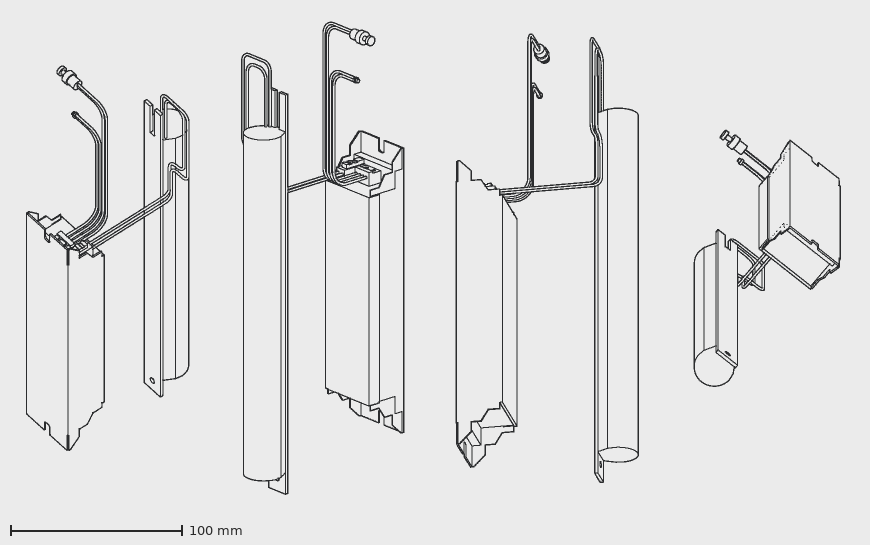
import cadquery as cq
import math


overall_width = 66.0
overall_depth = 104.5
overall_height = 285.5

lamp_diameter = 23.7
lamp_radius = lamp_diameter / 2
lamp_bottom = 13.5
lamp_top = 227.0
lamp_axis_y = overall_depth - lamp_radius
arc_end_rise = 0.5
arc_end_y = lamp_axis_y + arc_end_rise
arc_end_half_width = math.sqrt(lamp_radius**2 - arc_end_rise**2)
flank_y = 88.8
flank_half_width = 11.0

strip_front_y = 80.2
strip_thickness = 2.0
strip_width = 14.8
strip_height = 250.0
strip_hole_diameter = 3.7
strip_hole_z = 8.3
strip_slot_width = strip_hole_diameter
strip_slot_depth = strip_height - lamp_top

housing_center_x = 0.3
housing_width = 38.0
housing_bottom = 21.0
housing_height = 178.2
housing_top = housing_bottom + housing_height
housing_depth = 26.0
sheet = 1.0
left_wall = 0.5
flange_length = 13.0
body_inset = 20.0
end_steps = [
    (2.0, 0),
    (8.9, 6.9),
    (8.9, flange_length),
    (14.8, flange_length),
    (19.0, body_inset),
    (housing_depth, body_inset),
]
ledge_depth = 6.3
end_slot_width = 4.9
end_slot_depth = 8.0
end_slot_corner = 1.5

cover_bottom = 44.8
cover_top = 175.3
cover_back_y = 27.7
cover_leg_depth = 8.0
cover_leg_thickness = 0.9

floor_z = cover_top
small_block_left = -5.5
small_block_width = 12.5
small_block_back_y = 15.5
small_block_height = 7.5
lip_depth = 3.0
lip_height = 8.5
contact_positions = [-2.0, 4.0]
contact_width = 1.5
contact_length = 4.3
contact_depth = 0.9

large_block_left = 8.5
large_block_width = 6.9
large_block_back_y = 22.3
large_block_height = 7.7
raised_left = 9.5
raised_width = 4.3
raised_back_y = 19.7
raised_height = 10.3
cross_grooves = [(10.8, 2.5), (15.7, 1.7)]
cross_groove_depth = 0.5

wire_radius = 0.77
wire_level = 180.2
wire_embed = 1.5

forward_bend = 4.5
lamp_wires = [
    {"y": 83.0, "start_x": 5.0, "top": 266.5, "right": 29.0, "under": 208.0, "drop_x": 14.0, "bend": 5.0},
    {"y": 84.8, "start_x": 6.9, "top": 262.5, "right": 23.5, "under": 209.8, "drop_x": 10.3, "bend": 6.3},
]

bundle_y = 40.5
wire_pitch = 2.9
lead_bend = 8.5
bundle_bend = 10.0
pair_spacing = 1.7

plug_end_x = lamp_wires[0]["right"] + wire_radius - overall_width
plug_sections = [(2.0, 2.9), (4.0, 1.5), (3.7, 4.0), (6.0, 3.0)]
plug_largest_radius = max(radius for _, radius in plug_sections)
plug_axis_z = overall_height - plug_largest_radius
plug_length = sum(length for length, _ in plug_sections)
plug_lead_rise = 1.0
plug_lead_z = plug_axis_z + plug_lead_rise

ferrule_end_x = -24.5
ferrule_sections = [(1.5, 1.0), (1.5, 1.7)]
ferrule_length = sum(length for length, _ in ferrule_sections)
ferrule_embed = 0.9
ferrule_lead_z = 254.0
ferrule_axis_z = ferrule_lead_z - pair_spacing / 2


def block(x, y, z, size_x, size_y, size_z):
    """Box placed by its lowest corner."""
    return cq.Workplane("XY").box(size_x, size_y, size_z, centered=False).translate((x, y, z))


def make_tube(points, bends):
    """Round wire through the points, with one bend radius per inner point."""
    corners = [cq.Vector(*point) for point in points]
    position = corners[0]
    edges = []
    for before, corner, after, bend in zip(corners, corners[1:], corners[2:], bends):
        incoming = (corner - before).normalized()
        outgoing = (after - corner).normalized()
        arc_start = corner - incoming * bend
        arc_end = corner + outgoing * bend
        arc_center = arc_start + outgoing * bend
        arc_middle = arc_center + (incoming - outgoing).normalized() * bend
        edges.append(cq.Edge.makeLine(position, arc_start))
        edges.append(cq.Edge.makeThreePointArc(arc_start, arc_middle, arc_end))
        position = arc_end
    edges.append(cq.Edge.makeLine(position, corners[-1]))
    section = cq.Plane(origin=points[0], normal=(corners[1] - corners[0]).toTuple())
    path = cq.Workplane(obj=cq.Wire.assembleEdges(edges))
    return cq.Workplane(section).circle(wire_radius).sweep(path)


def make_lamp():
    strip_back_y = strip_front_y + strip_thickness
    half_strip = strip_width / 2
    tube = (
        cq.Workplane("XY", origin=(0, 0, lamp_bottom))
        .moveTo(-half_strip, strip_back_y)
        .lineTo(half_strip, strip_back_y)
        .lineTo(flank_half_width, flank_y)
        .lineTo(arc_end_half_width, arc_end_y)
        .threePointArc((0, overall_depth), (-arc_end_half_width, arc_end_y))
        .lineTo(-flank_half_width, flank_y)
        .close()
        .extrude(lamp_top - lamp_bottom)
    )
    strip = block(-half_strip, strip_front_y, 0, strip_width, strip_thickness, strip_height)
    hole = (
        cq.Workplane("XZ", origin=(0, strip_back_y, strip_hole_z))
        .circle(strip_hole_diameter / 2)
        .extrude(strip_thickness)
    )
    slot = block(
        -strip_slot_width / 2, strip_front_y, lamp_top, strip_slot_width, strip_thickness, strip_slot_depth
    )
    return tube.union(strip.cut(hole).cut(slot))


def make_housing_end():
    """Everything cut from the upper end of the plain housing, about its center line."""
    inner_width = housing_width - left_wall - sheet
    inner_left = housing_center_x - housing_width / 2 + left_wall
    recess_height = housing_top - floor_z
    recess = block(inner_left, ledge_depth, floor_z, inner_width, housing_depth, recess_height)
    ledge_z = housing_top - flange_length
    ledge = block(inner_left, sheet, ledge_z, inner_width, ledge_depth - sheet, flange_length)
    slot_left = housing_center_x - end_slot_width / 2
    slot_z = housing_top - end_slot_depth
    slot = block(slot_left, 0, slot_z, end_slot_width, sheet, end_slot_depth)
    slot = slot.edges("|Y and <Z").fillet(end_slot_corner)
    rebate = block(inner_left + inner_width, 0, ledge_z, sheet, sheet, flange_length)
    return recess.union(ledge).union(slot).union(rebate)


def make_housing():
    left = housing_center_x - housing_width / 2
    upper_outline = [(y, housing_top - inset) for y, inset in end_steps]
    lower_outline = [(y, housing_bottom + inset) for y, inset in reversed(end_steps)]
    outline = [(0, housing_top), *upper_outline, *lower_outline, (0, housing_bottom)]
    body = cq.Workplane("YZ", origin=(left, 0, 0)).polyline(outline).close().extrude(housing_width)
    upper_cut = make_housing_end()
    middle = (0, 0, housing_bottom + housing_height / 2)
    body = body.cut(upper_cut).cut(upper_cut.mirror("XY", middle))

    cover_height = cover_top - cover_bottom
    back_thickness = cover_back_y - housing_depth
    back = block(left, housing_depth, cover_bottom, housing_width, back_thickness, cover_height)
    leg = block(
        left - cover_leg_thickness,
        cover_back_y - cover_leg_depth,
        cover_bottom,
        cover_leg_thickness,
        cover_leg_depth,
        cover_height,
    )
    return body.union(back).union(leg)


def make_small_block():
    depth = small_block_back_y - ledge_depth
    base = block(small_block_left, ledge_depth, floor_z, small_block_width, depth, small_block_height)
    lip_y = small_block_back_y - lip_depth
    lip = block(small_block_left, lip_y, floor_z, small_block_width, lip_depth, lip_height)
    for x in contact_positions:
        groove_z = floor_z + small_block_height - contact_depth
        groove_y = lip_y - contact_length
        base = base.cut(
            block(x - contact_width / 2, groove_y, groove_z, contact_width, contact_length, contact_depth)
        )
    return base.union(lip)


def make_large_block():
    depth = large_block_back_y - ledge_depth
    base = block(large_block_left, ledge_depth, floor_z, large_block_width, depth, large_block_height)
    raised_depth = raised_back_y - ledge_depth
    raised = block(raised_left, ledge_depth, floor_z, raised_width, raised_depth, raised_height)
    groove_z = floor_z + raised_height - cross_groove_depth
    for y, length in cross_grooves:
        raised = raised.cut(block(raised_left, y, groove_z, raised_width, length, cross_groove_depth))
    return base.union(raised)


def make_lamp_wire(wire):
    y = wire["y"]
    points = [
        (wire["start_x"], y, lamp_top - wire_embed),
        (wire["start_x"], y, wire["top"]),
        (wire["right"], y, wire["top"]),
        (wire["right"], y, wire["under"]),
        (wire["drop_x"], y, wire["under"]),
        (wire["drop_x"], y, wire_level),
        (wire["drop_x"], raised_back_y, wire_level),
    ]
    loop_corners = points[1:-2]
    bends = [wire["bend"] for _ in loop_corners] + [forward_bend]
    return make_tube(points, bends)


def make_lead(end_x, lead_z, drop_x):
    """Wire from its free end, down the bundle and forward into the small block."""
    points = [
        (end_x, bundle_y, lead_z),
        (drop_x, bundle_y, lead_z),
        (drop_x, bundle_y, wire_level),
        (drop_x, small_block_back_y - wire_embed, wire_level),
    ]
    return make_tube(points, [lead_bend, bundle_bend])


def make_wire_end(end_x, axis_z, sections):
    """Stepped round fitting lying along X at the free end of a wire pair."""
    fitting = cq.Workplane("XY")
    x = end_x
    for length, radius in sections:
        section = cq.Workplane("YZ", origin=(x, bundle_y, axis_z)).circle(radius).extrude(length)
        fitting = fitting.union(section)
        x += length
    return fitting


result = make_housing().union(make_small_block()).union(make_large_block()).union(make_lamp())

for lamp_wire in lamp_wires:
    result = result.union(make_lamp_wire(lamp_wire))

plug_wire_x = plug_end_x + plug_length - wire_embed
ferrule_wire_x = ferrule_end_x + ferrule_length - ferrule_embed
for place in range(2):
    drop = place * pair_spacing
    plug_drop_x = (2 - place) * wire_pitch
    ferrule_drop_x = -place * wire_pitch
    result = result.union(make_lead(plug_wire_x, plug_lead_z - drop, plug_drop_x))
    result = result.union(make_lead(ferrule_wire_x, ferrule_lead_z - drop, ferrule_drop_x))

result = result.union(make_wire_end(plug_end_x, plug_axis_z, plug_sections))
result = result.union(make_wire_end(ferrule_end_x, ferrule_axis_z, ferrule_sections))